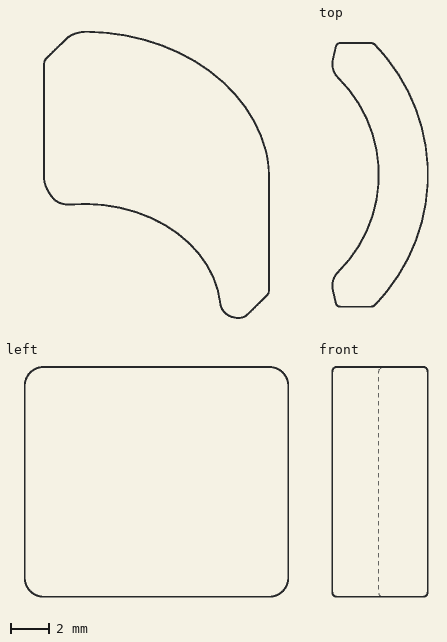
import cadquery as cq
import math

depth = 5.0
width = 13.76
height = 12.0

wall_thickness = 2.57
outer_radius = 9.69
inner_radius = outer_radius - wall_thickness
axis_x = depth - outer_radius

lip_radius = 1.0
flat_angle = math.radians(13)

corner_radius = 1.0
edge_radius = 0.25

normal_tolerance = 1e-4

half_width = width / 2

lip_x = lip_radius
lip_y = math.sqrt((inner_radius + lip_radius) ** 2 - (lip_x - axis_x) ** 2)


def lip_point(angle):
    """Point on the upper lip; the angle is measured from -X toward +Y."""
    return (
        lip_x - lip_radius * math.cos(angle),
        lip_y + lip_radius * math.sin(angle),
    )


def mirrored(point):
    return (point[0], -point[1])


inner_tangent_angle = -math.atan2(lip_y, lip_x - axis_x)
inner_end = lip_point(inner_tangent_angle)
lip_middle = lip_point((inner_tangent_angle + flat_angle) / 2)
flat_start = lip_point(flat_angle)
flat_end = (
    flat_start[0] + (half_width - flat_start[1]) * math.tan(flat_angle),
    half_width,
)
outer_end = (axis_x + math.sqrt(outer_radius**2 - half_width**2), half_width)


def curved_wall():
    """Cross-section extruded along Z, centred on the origin plane."""
    return (
        cq.Workplane("XY")
        .moveTo(*mirrored(inner_end))
        .threePointArc((axis_x + inner_radius, 0), inner_end)
        .threePointArc(lip_middle, flat_start)
        .lineTo(*flat_end)
        .lineTo(*outer_end)
        .threePointArc((depth, 0), mirrored(outer_end))
        .lineTo(*mirrored(flat_end))
        .lineTo(*mirrored(flat_start))
        .threePointArc(mirrored(lip_middle), mirrored(inner_end))
        .close()
        .extrude(height / 2, both=True)
    )


def rounded_silhouette():
    """Block along X whose YZ outline has four rounded corners."""
    return (
        cq.Workplane("YZ")
        .rect(width, height)
        .extrude(depth)
        .edges("|X")
        .fillet(corner_radius)
    )


def rim_edges(body):
    """Borders of the inner and outer surfaces, without the seams inside each surface."""
    flat_sides = body.faces("<Y or >Y or <Z or >Z")
    rounded_corners = body.faces("%CYLINDER").filter(lambda face: abs(face.normalAt().z) > normal_tolerance)
    return flat_sides.add(rounded_corners).edges("not |X")


body = curved_wall().intersect(rounded_silhouette())
result = rim_edges(body).fillet(edge_radius)